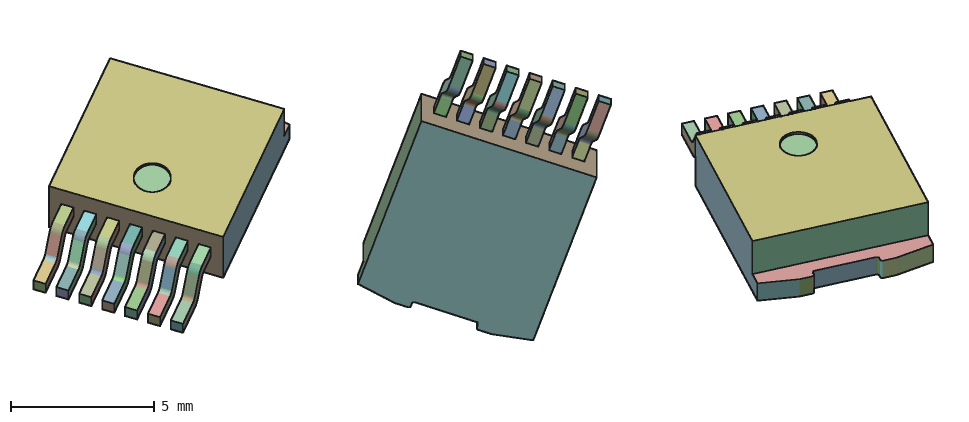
import cadquery as cq
import math

body_width = 6.5
body_height = 2.3
total_length = 9.7
lead_reach = 2.79
tab_reach = 0.8
body_length = total_length - lead_reach - tab_reach

tab_thickness = 0.8
shoulder_drop = 0.26
crest_half_width = 1.79
notch_half_width = 1.22
notch_depth = 0.26
notch_corner_radius = 0.09
notch_search_margin = 0.1

recess_diameter = 1.3
recess_depth = 0.1
recess_from_front = 1.62

lead_count = 7
lead_pitch = 0.85
lead_width = 0.46
lead_thickness = 0.5
lead_top = 1.5
lead_slope = math.radians(59)
bend_start = 1.08
outer_bend_radius = 0.4
inner_bend_radius = 0.2


def make_body():
    block = cq.Workplane("XY").box(body_width, body_length, body_height, centered=(True, False, False))
    recess = (
        cq.Workplane("XY", origin=(0, recess_from_front, body_height - recess_depth))
        .circle(recess_diameter / 2)
        .extrude(recess_depth)
    )
    return block.cut(recess)


def make_tab():
    half_width = body_width / 2
    crest = body_length + tab_reach
    shoulder = crest - shoulder_drop
    notch_floor = crest - notch_depth
    plate = (
        cq.Workplane("XY")
        .polyline([
            (-half_width, body_length),
            (half_width, body_length),
            (half_width, shoulder),
            (crest_half_width, crest),
            (-crest_half_width, crest),
            (-half_width, shoulder),
        ])
        .close()
        .extrude(tab_thickness)
    )
    notch = (
        cq.Workplane("XY", origin=(0, notch_floor, 0))
        .box(2 * notch_half_width, notch_depth, tab_thickness, centered=(True, False, False))
    )
    corners = cq.selectors.BoxSelector(
        (-notch_half_width - notch_search_margin, notch_floor - notch_search_margin, 0),
        (notch_half_width + notch_search_margin, crest + notch_search_margin, tab_thickness),
    )
    return plate.cut(notch).edges("|Z").edges(corners).fillet(notch_corner_radius)


def make_lead(x_center):
    corner_setback = lead_thickness * math.tan(lead_slope / 2)
    slope_run = (lead_top - lead_thickness) / math.tan(lead_slope)
    upper_outer = (-bend_start, lead_top)
    upper_inner = (-bend_start + corner_setback, lead_top - lead_thickness)
    lower_inner = (-bend_start - slope_run, lead_thickness)
    lower_outer = (upper_inner[0] - slope_run, 0)
    lead = (
        cq.Workplane("YZ", origin=(x_center, 0, 0))
        .polyline([
            (0, lead_top),
            upper_outer,
            lower_inner,
            (-lead_reach, lead_thickness),
            (-lead_reach, 0),
            lower_outer,
            upper_inner,
            (0, lead_top - lead_thickness),
        ])
        .close()
        .extrude(lead_width / 2, both=True)
    )
    bends = (
        (upper_outer, outer_bend_radius),
        (lower_outer, outer_bend_radius),
        (upper_inner, inner_bend_radius),
        (lower_inner, inner_bend_radius),
    )
    for (y, z), radius in bends:
        corner = cq.selectors.NearestToPointSelector((x_center, y, z))
        lead = lead.edges("|X").edges(corner).fillet(radius)
    return lead


result = make_body().union(make_tab())
for index in range(lead_count):
    lead_position = (index - (lead_count - 1) / 2) * lead_pitch
    result = result.union(make_lead(lead_position))